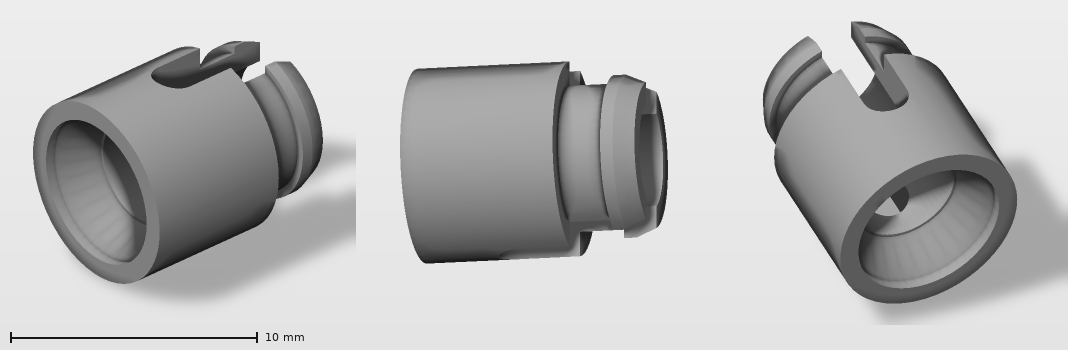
import cadquery as cq

total_length = 9.53
body_length = 6.35
flange_start = 8.18
taper_start = 8.7

body_diameter = 7.92
neck_diameter = 5.98
flange_diameter = 6.64
tip_diameter = 5.97

mouth_diameter = 6.29
mouth_depth = 0.48
cone_end_diameter = 4.54
cone_end_depth = 2.18
bore_diameter = 4.29

slot_width = 1.925
slot_depth = 6.31


def make_sleeve():
    """Revolve the half section, drawn as (radius, distance from mouth), about Y."""
    section = [
        (mouth_diameter / 2, 0),
        (body_diameter / 2, 0),
        (body_diameter / 2, body_length),
        (neck_diameter / 2, body_length),
        (neck_diameter / 2, flange_start),
        (flange_diameter / 2, flange_start),
        (flange_diameter / 2, taper_start),
        (tip_diameter / 2, total_length),
        (bore_diameter / 2, total_length),
        (bore_diameter / 2, cone_end_depth),
        (cone_end_diameter / 2, cone_end_depth),
        (mouth_diameter / 2, mouth_depth),
    ]
    return cq.Workplane("XY").polyline(section).close().revolve(360, (0, 0), (0, 1))


def make_slot():
    """Round-ended slot through the full height, open at the rear."""
    slot_radius = slot_width / 2
    slot_bottom = total_length - slot_depth
    arc_center = slot_bottom + slot_radius
    return (
        cq.Workplane("XY")
        .moveTo(slot_radius, total_length)
        .lineTo(slot_radius, arc_center)
        .threePointArc((0, slot_bottom), (-slot_radius, arc_center))
        .lineTo(-slot_radius, total_length)
        .close()
        .extrude(body_diameter, both=True)
    )


result = make_sleeve().cut(make_slot())